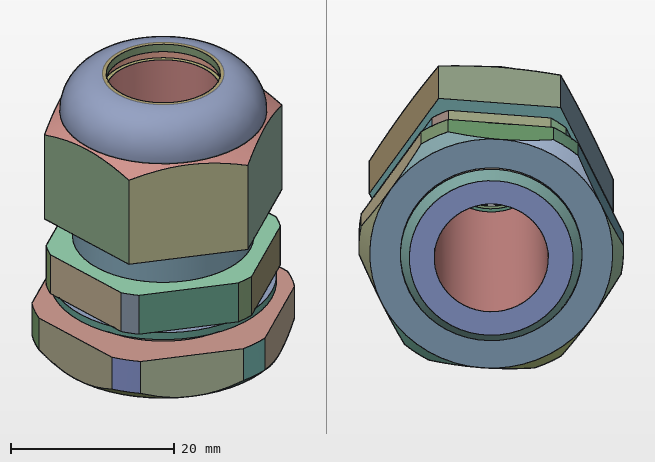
import cadquery as cq
import math

locknut_bottom = 1.6
locknut_top = 7.5
washer_bottom = 9.4
washer_top = 10.35
collar_top = 15.9
cap_bottom = 20.45
thread_top = 32.4
dome_bottom = 33.8
plug_top = 36.87
lip_bottom = 38.05
overall_height = 39.1

bore_diameter = 14.0
plug_diameter = 17.5
thread_diameter = 22.3

collar_flats = 26.28
collar_diameter = 29.13
thread_chamfer = 1.1

washer_diameter = 27.8

locknut_flats = 29.8
locknut_diameter = 32.5
locknut_chamfer = (locknut_diameter - locknut_flats) / 2

cap_flats = 26.0
dome_diameter = 25.4
dome_flat_diameter = 14.95
dome_radius = (dome_diameter - dome_flat_diameter) / 2
cap_chamfer_angle = 30.0
groove_floor_diameter = 15.0
groove_taper = 12.0


def cylinder(diameter, bottom, top):
    """Upright cylinder on the Z axis."""
    return cq.Workplane("XY").workplane(offset=bottom).circle(diameter / 2).extrude(top - bottom)


def hexagon(flats, bottom, top):
    """Hexagonal prism with two flats facing along X."""
    corner_diameter = flats / math.cos(math.pi / 6)
    prism = cq.Workplane("XY").polygon(6, corner_diameter).extrude(top - bottom)
    return prism.rotate((0, 0, 0), (0, 0, 1), 30).translate((0, 0, bottom))


def make_gland_body():
    """Threaded tube with a hexagonal collar and a plug at its upper end."""
    thread = cylinder(thread_diameter, 0, thread_top).faces("<Z").chamfer(thread_chamfer)
    collar = hexagon(collar_flats, washer_top, collar_top)
    collar = collar.intersect(cylinder(collar_diameter, washer_top, collar_top))
    plug = cylinder(plug_diameter, thread_top, plug_top)
    body = thread.union(collar).union(plug)
    return body.cut(cylinder(bore_diameter, 0, plug_top))


def make_washer():
    """Flat sealing ring under the collar."""
    ring = cylinder(washer_diameter, washer_bottom, washer_top)
    return ring.cut(cylinder(thread_diameter, washer_bottom, washer_top))


def make_locknut():
    """Hexagonal nut with rounded corners, chamfered on its lower side."""
    blank = cylinder(locknut_diameter, locknut_bottom, locknut_top).faces("<Z").chamfer(locknut_chamfer)
    nut = hexagon(locknut_flats, locknut_bottom, locknut_top).intersect(blank)
    return nut.cut(cylinder(thread_diameter, locknut_bottom, locknut_top))


def make_cap_nut():
    """Hexagonal cap with chamfered corners and a rounded dome."""
    corner_radius = cap_flats / math.sqrt(3)
    chamfer_width = corner_radius - dome_diameter / 2
    chamfer_height = chamfer_width * math.tan(math.radians(cap_chamfer_angle))
    blank = (
        cylinder(2 * corner_radius, cap_bottom, dome_bottom)
        .faces(">Z")
        .edges()
        .chamfer(chamfer_height, chamfer_width)
    )
    grip = hexagon(cap_flats, cap_bottom, dome_bottom).intersect(blank)
    dome = cylinder(dome_diameter, dome_bottom, overall_height).faces(">Z").edges().fillet(dome_radius)
    cap = grip.union(dome)

    cap = cap.cut(cylinder(thread_diameter, cap_bottom, thread_top))
    cap = cap.cut(cylinder(plug_diameter, thread_top, plug_top))

    groove = (
        cq.Workplane("XY")
        .workplane(offset=plug_top)
        .circle(groove_floor_diameter / 2)
        .extrude(lip_bottom - plug_top, taper=-groove_taper)
    )
    cap = cap.cut(groove)
    return cap.cut(cylinder(bore_diameter, lip_bottom, overall_height))


gland_body = make_gland_body()
washer = make_washer()
locknut = make_locknut()
cap_nut = make_cap_nut()

result = cq.Compound.makeCompound([gland_body.val(), washer.val(), locknut.val(), cap_nut.val()])